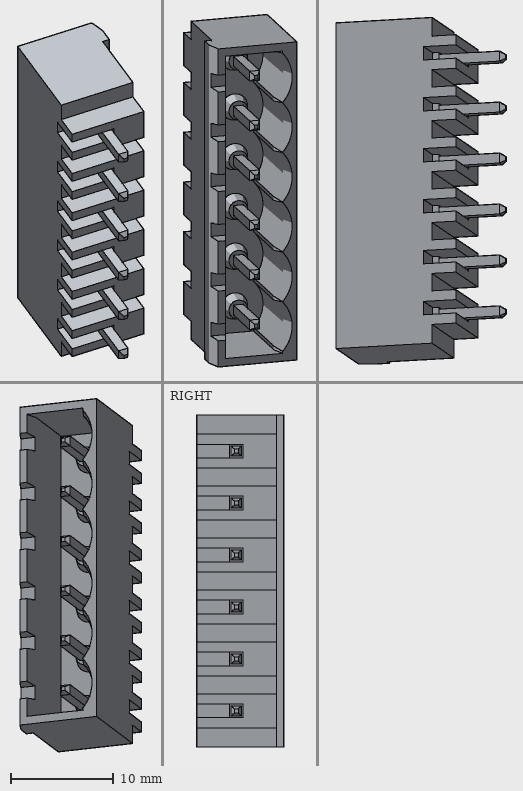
import cadquery as cq

length = 32.48
body_depth = 9.78
total_depth = 16.2
body_width = 7.8
total_width = 8.5

pin_count = 6
first_pin_z = 3.55
pitch = (length - 2 * first_pin_z) / (pin_count - 1)
pin_positions = [first_pin_z + i * pitch for i in range(pin_count)]

lip_depth = 3.0
lip_slope_depth = 1.5
lip_front_width = 8.05

standoff_depth = 12.2
standoff_height = 3.35
slot_start = 8.93
slot_height = 1.33

end_wall = 0.8
pocket_floor = slot_start - end_wall
lead_in_depth = 1.43
lead_in_taper = 0.45
pocket_mouth_low = 1.45
pocket_mouth_high = 7.3
scallop_wall = 0.5
scallop_mouth_radius = 3.77
scallop_inner_radius = scallop_mouth_radius - lead_in_taper
scallop_y = scallop_wall + scallop_mouth_radius

notch_depth = 1.25
notch_mouth_height = 1.72
notch_floor_height = 1.35

pin_y = 3.85
pin_side = 1.0
pin_start = 0.97
pin_tip_length = 0.52
pin_tip_side = 0.4
shoulder_end = 9.55
shoulder_side = slot_height

collar_base_diameter = 2.65
collar_top_diameter = 1.92
collar_height = 1.3


def box(x_range, y_range, z_range):
    """Box between the given limits along each axis."""
    sizes = [high - low for low, high in (x_range, y_range, z_range)]
    corner = (x_range[0], y_range[0], z_range[0])
    return cq.Workplane("XY").box(*sizes, centered=False).translate(corner)


def centred(middle, size):
    """Limits of a span of the given size about its middle."""
    return middle - size / 2, middle + size / 2


def yz_plane(x, y, z):
    """Sketch plane facing +X, with local axes along Y and Z."""
    return cq.Workplane("YZ", origin=(x, y, z))


def make_housing():
    outline = [
        (0, 0),
        (body_depth, 0),
        (body_depth, body_width),
        (lip_depth, body_width),
        (lip_depth, total_width),
        (lip_slope_depth, total_width),
        (0, lip_front_width),
    ]
    return cq.Workplane("XY").polyline(outline).close().extrude(length)


def make_pocket():
    outline = [
        (0, pocket_mouth_low),
        (lead_in_depth, pocket_mouth_low + lead_in_taper),
        (pocket_floor, pocket_mouth_low + lead_in_taper),
        (pocket_floor, pocket_mouth_high - lead_in_taper),
        (lead_in_depth, pocket_mouth_high - lead_in_taper),
        (0, pocket_mouth_high),
    ]
    trough = cq.Workplane("XY").polyline(outline).close().extrude(length)
    for z in pin_positions:
        trough = trough.union(make_scallop(z))
    limits = box((0, pocket_floor), (0, pocket_mouth_high), (end_wall, length - end_wall))
    return trough.intersect(limits)


def make_scallop(z):
    """Round recess in the -Y wall: a cone at the mouth, then a straight cylinder.

    Only the half towards -Y is kept; the rest lies inside the trough.
    """
    lead_in = (
        yz_plane(0, scallop_y, z)
        .circle(scallop_mouth_radius)
        .workplane(offset=lead_in_depth)
        .circle(scallop_inner_radius)
        .loft(ruled=True)
    )
    straight = (
        yz_plane(lead_in_depth, scallop_y, z)
        .circle(scallop_inner_radius)
        .extrude(pocket_floor - lead_in_depth)
    )
    low_half = box((0, pocket_floor), (0, scallop_y), centred(z, pitch))
    return lead_in.union(straight).intersect(low_half)


def make_notch(z):
    """Coding notch through the lip, narrowing towards its floor."""
    outline = [
        (0, z - notch_mouth_height / 2),
        (notch_depth, z - notch_floor_height / 2),
        (notch_depth, z + notch_floor_height / 2),
        (0, z + notch_mouth_height / 2),
    ]
    return (
        cq.Workplane("XZ", origin=(0, total_width, 0))
        .polyline(outline)
        .close()
        .extrude(total_width - pin_y)
    )


def make_standoff(z):
    return box((body_depth, standoff_depth), (0, body_width), centred(z, standoff_height))


def make_slot(z):
    """Slot from the -Y face up to the far side of the pin shoulder."""
    slot_end = pin_y + shoulder_side / 2
    return box((slot_start, standoff_depth), (0, slot_end), centred(z, slot_height))


def make_pin(z):
    """Square pin, pointed at both ends, with a shoulder at the slot end."""
    shaft_start = pin_start + pin_tip_length
    shaft_end = total_depth - pin_tip_length
    shaft = box((shaft_start, shaft_end), centred(pin_y, pin_side), centred(z, pin_side))
    shoulder = box(
        (slot_start, shoulder_end),
        centred(pin_y, shoulder_side),
        centred(z, shoulder_side),
    )
    pin = shaft.union(shoulder)
    for base, direction in ((shaft_start, -1), (shaft_end, 1)):
        tip = (
            yz_plane(base, pin_y, z)
            .rect(pin_side, pin_side)
            .workplane(offset=direction * pin_tip_length)
            .rect(pin_tip_side, pin_tip_side)
            .loft(ruled=True)
        )
        pin = pin.union(tip)
    return pin


def make_collar(z):
    return (
        yz_plane(pocket_floor, pin_y, z)
        .circle(collar_base_diameter / 2)
        .workplane(offset=-collar_height)
        .circle(collar_top_diameter / 2)
        .loft(ruled=True)
    )


result = make_housing().cut(make_pocket())
for pin_z in pin_positions:
    result = result.union(make_standoff(pin_z))
    result = result.cut(make_notch(pin_z)).cut(make_slot(pin_z))
    result = result.union(make_collar(pin_z)).union(make_pin(pin_z))